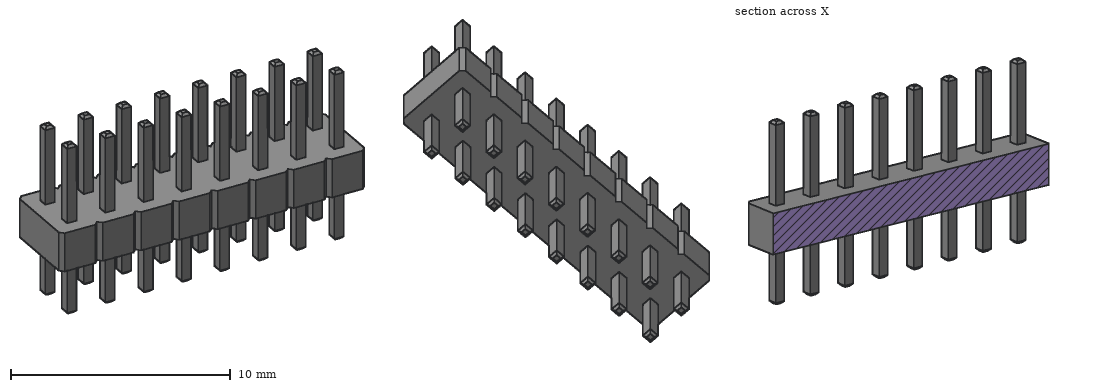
import cadquery as cq

pitch = 2.0
row_count = 2
pins_per_row = 8

body_height = 2.0
body_width = row_count * pitch
corner_cut = 0.2

pin_side = 0.5
pin_above_body = 4.0
pin_below_body = 2.8
tip_cut = 0.125


def make_body_segment(center_y):
    """One pitch-long body block with its four vertical edges chamfered."""
    return (
        cq.Workplane("XY")
        .box(body_width, pitch, body_height, centered=(True, True, False))
        .edges("|Z")
        .chamfer(corner_cut)
        .translate((0, center_y, 0))
    )


def make_pin(center_x, center_y):
    """One straight pin through the body, chamfered around both ends."""
    pin_length = pin_below_body + body_height + pin_above_body
    return (
        cq.Workplane("XY")
        .box(pin_side, pin_side, pin_length, centered=(True, True, False))
        .faces("<Z or >Z")
        .chamfer(tip_cut)
        .translate((center_x, center_y, -pin_below_body))
    )


def centered_positions(count):
    """Positions at the header pitch, symmetric about zero."""
    return [(index - (count - 1) / 2) * pitch for index in range(count)]


body = cq.Workplane("XY")
for y in centered_positions(pins_per_row):
    body = body.union(make_body_segment(y))
body = body.clean()

result = body
for x in centered_positions(row_count):
    for y in centered_positions(pins_per_row):
        result = result.union(make_pin(x, y))